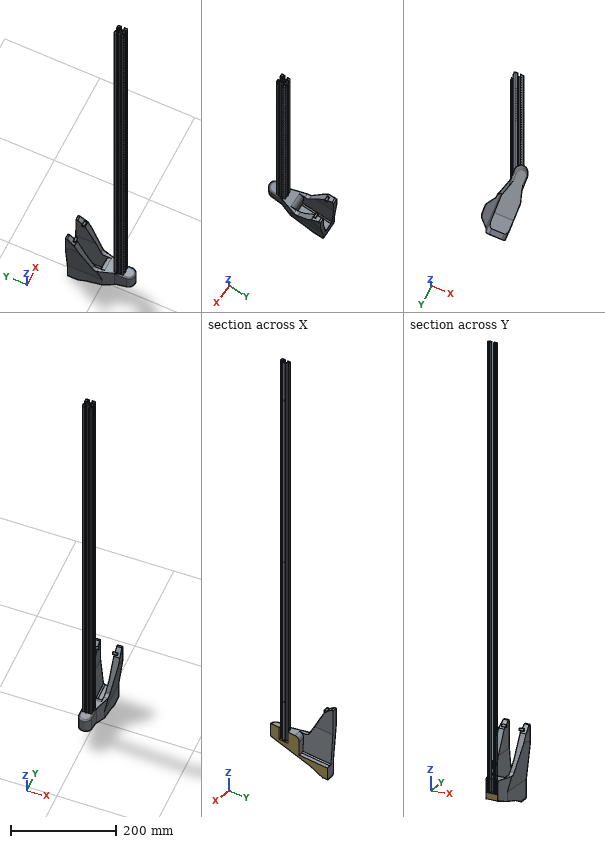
import cadquery as cq
import math

overall_depth = 134.05
overall_height = 976.53
overall_width = 59.91

rail_size = 20.0
rail_length = 930.0
rail_corner_radius = 2.0
rail_center_y = -103.0
rail_bottom_z = overall_height - rail_length
rail_bore_diameter = 4.3
slot_opening = 6.0
slot_lip = 1.8
slot_inner_width = 11.0
slot_side_height = 1.5
slot_depth = 6.0
slot_floor_width = 5.0

boss_radius = 13.0
boss_start_y = -96.0
nose_center_y = boss_radius - overall_depth
waist_y = -64.0
waist_half_width = 23.0
arm_back_half_width = 28.6
arm_bulge_y = -21.0
arm_bulge_end_y = 2 * arm_bulge_y

bracket_height = 158.5
max_half_width = overall_width / 2
flare_top_z = 139.0
flare_half_width = 31.0
tip_half_width = 28.0
base_half_width = 20.0
base_top_z = 44.0
base_corner_radius = 7.0

ledge_start_y = -57.0
ledge_back_z = 72.5
ledge_front_z = 76.0
underside_front_z = 43.5
underside_bend_y = -40.0
underside_bend_z = 14.0
underside_flat_y = -12.0
tip_flat_y = -4.0
tip_front_y = -19.5
tip_front_z = 146.0
ledge_blend_radius = 10.0
boss_edge_radius = 3.0

channel_length = 66.0
channel_floor_z = 30.0
channel_floor_half_width = 7.5
channel_wall_foot = 11.0
channel_bend_half_width = 17.0
channel_bend_z = 100.0
channel_top_half_width = 17.5
channel_bevel_angle = 25.0
saddle_radius = 11.0

peg_diameter = 5.5
peg_inner_x = 14.5
peg_outer_x = 24.0
peg_y = -16.5
peg_z = 151.5


def mirrored_outline(plane, half_points):
    """Closed outline from a half outline, mirrored about the first coordinate's zero."""
    mirrored = [(-x, v) for x, v in reversed(half_points)]
    return cq.Workplane(plane).polyline(half_points + mirrored).close()


def side_block():
    """Side outline in the YZ plane, as wide as the whole bracket."""
    outline = [
        (0, 0),
        (underside_flat_y, 0),
        (underside_bend_y, underside_bend_z),
        (-overall_depth, underside_front_z),
        (-overall_depth, ledge_front_z),
        (ledge_start_y, ledge_back_z),
        (tip_front_y, tip_front_z),
        (tip_flat_y, bracket_height),
        (0, bracket_height),
    ]
    block = cq.Workplane("YZ").polyline(outline).close().extrude(max_half_width, both=True)
    ledge_corner = cq.selectors.NearestToPointSelector((0, ledge_start_y, ledge_back_z))
    return block.edges("|X").edges(ledge_corner).fillet(ledge_blend_radius)


def plan_block():
    """Plan outline in the XY plane: wide arms, tapered waist, boss with a half-round nose."""
    return (
        cq.Workplane("XY")
        .moveTo(arm_back_half_width, 0)
        .threePointArc((max_half_width, arm_bulge_y), (arm_back_half_width, arm_bulge_end_y))
        .lineTo(waist_half_width, waist_y)
        .lineTo(boss_radius, boss_start_y)
        .lineTo(boss_radius, nose_center_y)
        .threePointArc((0, -overall_depth), (-boss_radius, nose_center_y))
        .lineTo(-boss_radius, boss_start_y)
        .lineTo(-waist_half_width, waist_y)
        .lineTo(-arm_back_half_width, arm_bulge_end_y)
        .threePointArc((-max_half_width, arm_bulge_y), (-arm_back_half_width, 0))
        .close()
        .extrude(bracket_height)
    )


def back_block():
    """Back outline in the XZ plane: narrow base with rounded bottom corners, arms flaring upward."""
    half = [
        (base_half_width, 0),
        (base_half_width, base_top_z),
        (flare_half_width, flare_top_z),
        (tip_half_width, bracket_height),
    ]
    block = mirrored_outline("XZ", half).extrude(overall_depth)
    return block.edges("|Y and <Z").fillet(base_corner_radius)


def channel():
    """Channel open at the back, with a bevelled floor, flaring walls and a rounded saddle in front."""
    bevel_width = channel_wall_foot - channel_floor_half_width
    bevel_rise = bevel_width * math.tan(math.radians(channel_bevel_angle))
    half = [
        (channel_floor_half_width, channel_floor_z),
        (channel_wall_foot, channel_floor_z + bevel_rise),
        (channel_bend_half_width, channel_bend_z),
        (channel_top_half_width, bracket_height),
    ]
    saddle_end_y = -channel_length - saddle_radius
    trough = mirrored_outline("XZ", half).extrude(-saddle_end_y)
    saddle_slope = (ledge_front_z - ledge_back_z) / (ledge_start_y + overall_depth)
    saddle_top_z = ledge_back_z + saddle_slope * (ledge_start_y - saddle_end_y)
    saddle_arc_offset = saddle_radius * (1 - math.sqrt(0.5))
    length_limit = (
        cq.Workplane("YZ")
        .moveTo(0, channel_floor_z)
        .lineTo(-channel_length, channel_floor_z)
        .lineTo(-channel_length, saddle_top_z - saddle_radius)
        .threePointArc(
            (-channel_length - saddle_arc_offset, saddle_top_z - saddle_arc_offset),
            (saddle_end_y, saddle_top_z),
        )
        .lineTo(saddle_end_y, bracket_height)
        .lineTo(0, bracket_height)
        .close()
        .extrude(max_half_width, both=True)
    )
    return trough.intersect(length_limit)


def tip_pegs():
    """One short peg on the inner front corner of each arm tip."""
    peg = (
        cq.Workplane("YZ", origin=(peg_inner_x, 0, 0))
        .center(peg_y, peg_z)
        .circle(peg_diameter / 2)
        .extrude(peg_outer_x - peg_inner_x)
    )
    return peg, peg.mirror("YZ")


def rail_blank():
    """Rail outline without its slots and bore."""
    return (
        cq.Workplane("XY", origin=(0, rail_center_y, rail_bottom_z))
        .rect(rail_size, rail_size)
        .extrude(rail_length)
        .edges("|Z")
        .fillet(rail_corner_radius)
    )


def rail_slot(angle):
    """T-slot cutter on one side of the rail, turned about the rail axis."""
    face = rail_size / 2
    half = [
        (slot_opening / 2, face),
        (slot_opening / 2, face - slot_lip),
        (slot_inner_width / 2, face - slot_lip),
        (slot_inner_width / 2, face - slot_lip - slot_side_height),
        (slot_floor_width / 2, face - slot_depth),
    ]
    cutter = mirrored_outline("XY", half).extrude(rail_length)
    return cutter.rotate((0, 0, 0), (0, 0, 1), angle).translate((0, rail_center_y, rail_bottom_z))


def make_rail():
    """Square rail with a central bore and one T-slot along each side."""
    rail = rail_blank().faces(">Z").workplane(origin=(0, rail_center_y, 0)).hole(rail_bore_diameter)
    for angle in (0, 90, 180, 270):
        rail = rail.cut(rail_slot(angle))
    return rail


def round_boss_edges(body):
    """Round the top and bottom rims of the boss, around its nose."""
    boss_zone = cq.selectors.BoxSelector(
        (-max_half_width, -overall_depth, 0),
        (max_half_width, boss_start_y - boss_edge_radius, bracket_height),
    )
    return body.edges(boss_zone).edges("not(|Z)").fillet(boss_edge_radius)


def make_bracket():
    """Fork-shaped bracket with a socket that fits the rail."""
    body = side_block().intersect(plan_block()).intersect(back_block())
    body = round_boss_edges(body)
    body = body.cut(channel())
    for peg in tip_pegs():
        body = body.union(peg)
    return body.cut(rail_blank())


bracket = make_bracket()
rail = make_rail()
result = cq.Compound.makeCompound([bracket.val(), rail.val()])